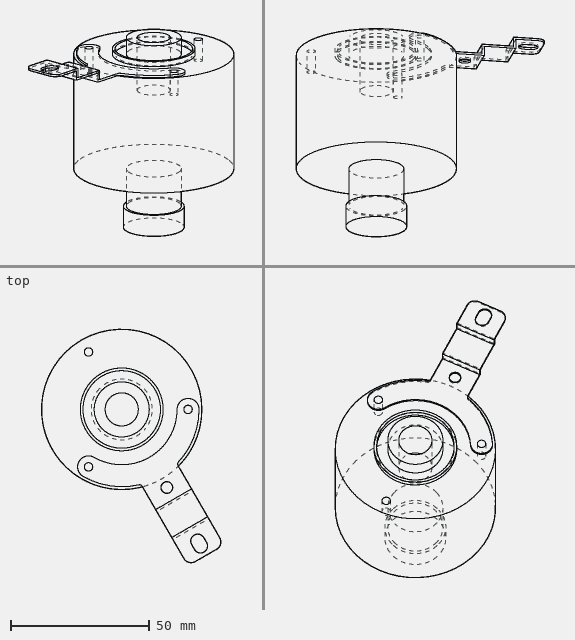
import cadquery as cq
import math

body_diameter = 58.0
body_height = 43.5
shaft_diameter = 19.9
shaft_length = 14.2
collar_diameter = 22.05
collar_height = 8.0
hub_height = 6.3
bore_diameter = 12.0
bore_depth = 20.0

ring_outer_diameter = 30.0
ring_inner_diameter = 28.05
ring_height = 2.0

screw_circle_radius = 24.0
screw_hole_diameter = 3.0
screw_hole_depth = 8.0
screw_angles = (0, 120, 240)

sheet_thickness = 0.8
foot_half_width = 4.0
foot_start_angle = -120
foot_end_angle = 0
arm_angle = (foot_start_angle + foot_end_angle) / 2
arm_width = 15.0
arm_reach = 61.0
arm_corner_radius = 3.0
arm_root_fillet = 1.0
step_rise = 3.51
first_step_radius = 37.5
step_run = 11.7
arm_hole_radius = 32.6
arm_hole_diameter = 4.1
slot_radius = 56.0
slot_width = 5.0
slot_length = 7.0


def cylinder(diameter, bottom, top):
    return cq.Workplane("XY").workplane(offset=bottom).circle(diameter / 2).extrude(top - bottom)


def polar_point(radius, angle):
    radians = math.radians(angle)
    return (radius * math.cos(radians), radius * math.sin(radians))


def make_body():
    collar_top = -body_height - shaft_length
    body = cylinder(body_diameter, -body_height, 0)
    body = body.union(cylinder(ring_outer_diameter, 0, ring_height))
    body = body.cut(cylinder(ring_inner_diameter, 0, ring_height))
    body = body.union(cylinder(shaft_diameter, collar_top, hub_height))
    body = body.union(cylinder(collar_diameter, collar_top - collar_height, collar_top))
    return body.cut(cylinder(bore_diameter, hub_height - bore_depth, hub_height))


def make_foot():
    inner_radius = screw_circle_radius - foot_half_width
    outer_radius = screw_circle_radius + foot_half_width
    start_cap_angle = math.radians(foot_start_angle)
    start_cap = (
        screw_circle_radius * math.cos(start_cap_angle) + foot_half_width * math.sin(start_cap_angle),
        screw_circle_radius * math.sin(start_cap_angle) - foot_half_width * math.cos(start_cap_angle),
    )
    return (
        cq.Workplane("XY")
        .moveTo(*polar_point(inner_radius, foot_start_angle))
        .threePointArc(polar_point(inner_radius, arm_angle), polar_point(inner_radius, foot_end_angle))
        .threePointArc((screw_circle_radius, foot_half_width), polar_point(outer_radius, foot_end_angle))
        .threePointArc(polar_point(outer_radius, arm_angle), polar_point(outer_radius, foot_start_angle))
        .threePointArc(start_cap, polar_point(inner_radius, foot_start_angle))
        .close()
        .extrude(sheet_thickness)
    )


def make_arm():
    """Stepped arm along +X, before it is turned to its final direction."""
    second_step_radius = first_step_radius + step_run
    side_profile = [
        (screw_circle_radius, 0),
        (first_step_radius + sheet_thickness, 0),
        (first_step_radius + sheet_thickness, step_rise),
        (second_step_radius + sheet_thickness, step_rise),
        (second_step_radius + sheet_thickness, 2 * step_rise),
        (arm_reach, 2 * step_rise),
        (arm_reach, 2 * step_rise + sheet_thickness),
        (second_step_radius, 2 * step_rise + sheet_thickness),
        (second_step_radius, step_rise + sheet_thickness),
        (first_step_radius, step_rise + sheet_thickness),
        (first_step_radius, sheet_thickness),
        (screw_circle_radius, sheet_thickness),
    ]
    arm = cq.Workplane("XZ").polyline(side_profile).close().extrude(arm_width / 2, both=True)
    arm = arm.edges("|Z and >X").fillet(arm_corner_radius)
    arm_top = 2 * step_rise + sheet_thickness
    slot = cq.Workplane("XY").center(slot_radius, 0).slot2D(slot_length, slot_width).extrude(arm_top)
    hole = cylinder(arm_hole_diameter, 0, arm_top).translate((arm_hole_radius, 0, 0))
    return arm.cut(slot).cut(hole)


def make_bracket():
    arm = make_arm().rotate((0, 0, 0), (0, 0, 1), arm_angle)
    bracket = make_foot().union(arm)

    outer_radius = screw_circle_radius + foot_half_width
    root_half_angle = math.degrees(math.asin(arm_width / 2 / outer_radius))
    for angle in (arm_angle - root_half_angle, arm_angle + root_half_angle):
        root = polar_point(outer_radius, angle)
        nearest = cq.selectors.NearestToPointSelector((*root, sheet_thickness / 2))
        bracket = bracket.edges("|Z").edges(nearest).fillet(arm_root_fillet)
    return bracket


def make_screw_holes():
    holes = cq.Workplane("XY").workplane(offset=-screw_hole_depth)
    holes = holes.pushPoints([polar_point(screw_circle_radius, angle) for angle in screw_angles])
    return holes.circle(screw_hole_diameter / 2).extrude(screw_hole_depth + sheet_thickness)


result = make_body().union(make_bracket()).cut(make_screw_holes())